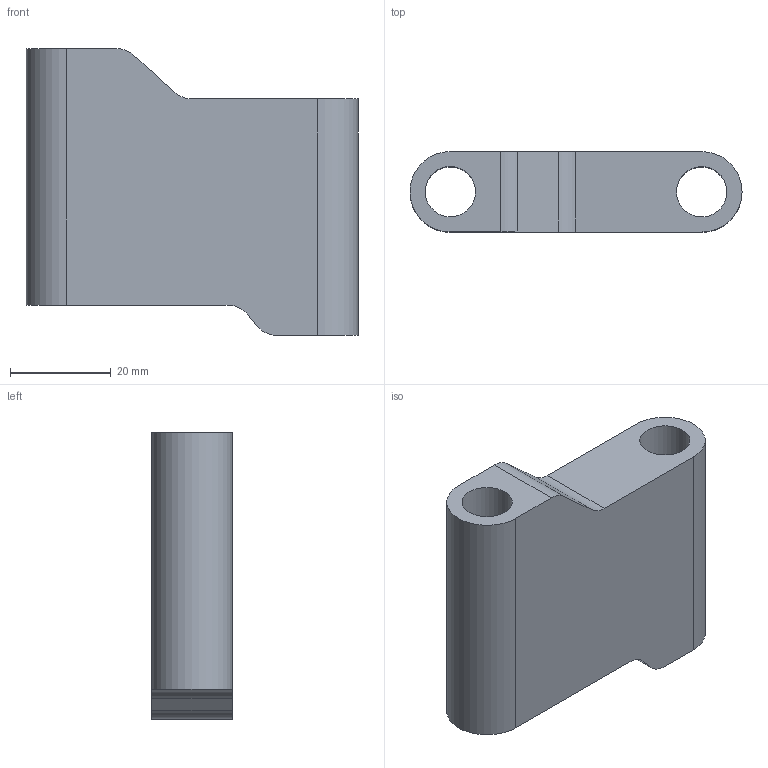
import cadquery as cq

hole_spacing = 50.0
link_width = 16.0
hole_diameter = 10.0
body_height = 41.0
shoulder_height = 10.0
foot_depth = 6.0
blend_radius = 5.0

shoulder_slope_start = 12.0
shoulder_slope_end = 23.0
foot_slope_start = 15.5
foot_slope_end = 10.5

end_radius = link_width / 2
left_end = -end_radius
right_end = hole_spacing + end_radius
shoulder_top = body_height + shoulder_height
total_height = shoulder_top + foot_depth
shoulder_slope_top = (shoulder_slope_start, shoulder_top)
shoulder_slope_bottom = (shoulder_slope_end, body_height)
foot_slope_top = (hole_spacing - foot_slope_start, 0)
foot_slope_bottom = (hole_spacing - foot_slope_end, -foot_depth)


def stepped_plate():
    """Plate with a raised left shoulder and a lowered right foot, slopes blended."""
    outline = [
        (left_end, 0),
        foot_slope_top,
        foot_slope_bottom,
        (right_end, -foot_depth),
        (right_end, body_height),
        shoulder_slope_bottom,
        shoulder_slope_top,
        (left_end, shoulder_top),
    ]
    plate = (
        cq.Workplane("XZ")
        .polyline(outline)
        .close()
        .extrude(end_radius, both=True)
    )
    slope_corners = [foot_slope_top, foot_slope_bottom, shoulder_slope_bottom, shoulder_slope_top]
    for x, z in slope_corners:
        corner_edge = cq.selectors.NearestToPointSelector((x, 0, z))
        plate = plate.edges("|Y").edges(corner_edge).fillet(blend_radius)
    return plate


def rounded_envelope():
    """Full-height prism with semicircular ends about the two hole axes."""
    return (
        cq.Workplane("XY", origin=(hole_spacing / 2, 0, -foot_depth))
        .slot2D(hole_spacing + link_width, link_width)
        .extrude(total_height)
    )


def through_holes():
    """Vertical bores at both ends, running the full height."""
    return (
        cq.Workplane("XY", origin=(0, 0, -foot_depth))
        .pushPoints([(0, 0), (hole_spacing, 0)])
        .circle(hole_diameter / 2)
        .extrude(total_height)
    )


result = stepped_plate().intersect(rounded_envelope()).cut(through_holes())